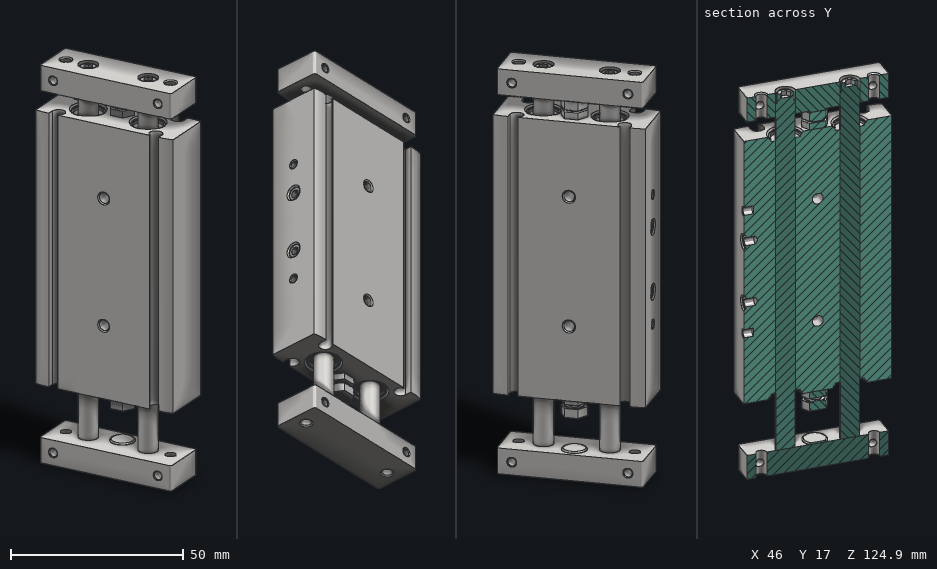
import cadquery as cq
import math


HOUSING_WIDTH = 46.0
HOUSING_DEPTH = 17.0
HOUSING_LENGTH = 86.0
LIP_FLAT_EDGE = 19.85
LIP_CROWN_DROP = 0.45
SLOT_OUTER_EDGE = 18.35
SLOT_INNER_EDGE = 15.4
SLOT_ROUND_RADIUS = 2.0
SLOT_ROUND_X = 16.25
SLOT_ROUND_Y = 6.4

ROD_DIAMETER = 6.0
ROD_X = 10.0
GLAND_DIAMETER = 10.0
GLAND_RIM_DIAMETER = 11.0
GLAND_DEPTH = 0.8
SEAL_DIAMETER = 9.0
SEAL_DEPTH = 1.6

PLATE_WIDTH = 44.0
PLATE_DEPTH = 15.0
PLATE_THICKNESS = 8.0
PLATE_CORNER_RADIUS = 0.8
UPPER_GAP = 6.0
LOWER_GAP = 16.9
PLATE_HOLE_X = 17.5
UPPER_PLATE_Z = HOUSING_LENGTH + UPPER_GAP
LOWER_PLATE_TOP = -LOWER_GAP

M3_CORE = 2.46
M3_MOUTH = 3.0
M4_CORE = 3.24
M4_MOUTH = 4.0

MOUNT_HOLE_PITCH = 40.0
MOUNT_HOLE_Z = [HOUSING_LENGTH / 2 + side * MOUNT_HOLE_PITCH / 2 for side in (-1, 1)]
SIDE_HOLE_DEPTH = 3.0

PORT_PITCH = 20.0
PORT_Z = [HOUSING_LENGTH / 2 + side * PORT_PITCH / 2 for side in (-1, 1)]
PORT_CORE = 4.13
PORT_MOUTH = 5.0
PORT_DEPTH = 0.6
PORT_DRILL = 2.46
PORT_DRILL_DEPTH = 3.0
DRILL_TIP_ANGLE = 118.0

SCREW_SEAT_DIAMETER = 6.03
SCREW_SEAT_DEPTH = 3.5
SCREW_HEAD_DIAMETER = 5.3
SCREW_HEAD_HEIGHT = 3.0
SCREW_HEAD_CHAMFER = 0.35
SCREW_SOCKET_WIDTH = 2.5
SCREW_SOCKET_DEPTH = 1.5

BOLT_Y = 2.5
BOLT_DIAMETER = 4.0
BOLT_EMBEDMENT = 8.0
HEX_WIDTH = 7.0
NUT_THICKNESS = 2.1
BOLT_HEAD_HEIGHT = 2.8
WASHER_FACE_DIAMETER = 6.0
WASHER_FACE_HEIGHT = 0.4
PAD_DIAMETER = 7.5
PAD_HEIGHT = 0.5
PAD_CHAMFER = 0.4
UPPER_BOLT_REACH = UPPER_GAP - PAD_HEIGHT
LOWER_BOLT_REACH = 6.15


def cylinder(diameter, height, x=0.0, y=0.0, z=0.0):
    """Upright cylinder standing on height z."""
    return cq.Workplane("XY", origin=(x, y, z)).circle(diameter / 2).extrude(height)


def hexagon(width, height, z, y=0.0, x=0.0):
    """Upright hexagonal prism with two corners along X; width is across flats."""
    across_corners = width / math.cos(math.pi / 6)
    return cq.Workplane("XY", origin=(x, y, z)).polygon(6, across_corners).extrude(height)


def mouth(core, outer, point, inward):
    """45 degree countersink that opens a hole from its core diameter to its mouth diameter."""
    depth = (outer - core) / 2
    return cq.Solid.makeCone(outer / 2, core / 2, depth, cq.Vector(*point), cq.Vector(*inward))


def cross_hole(core, outer, x, z, body_depth):
    """Hole through a body from front to back, countersunk at both ends."""
    hole = cq.Workplane("XZ", origin=(x, body_depth / 2, z)).circle(core / 2).extrude(body_depth)
    for side in (-1, 1):
        hole = hole.union(cq.Workplane(mouth(core, outer, (x, side * body_depth / 2, z), (0, -side, 0))))
    return hole



def crowned_block():
    """Plain housing bar whose lips fall away along a gentle arc towards the side faces."""
    half_width = HOUSING_WIDTH / 2
    half_depth = HOUSING_DEPTH / 2
    crown_width = half_width - LIP_FLAT_EDGE
    crown_radius = (crown_width**2 + LIP_CROWN_DROP**2) / (2 * LIP_CROWN_DROP)
    crown_y = half_depth - LIP_CROWN_DROP
    return (
        cq.Workplane("XY")
        .moveTo(-LIP_FLAT_EDGE, -half_depth)
        .lineTo(LIP_FLAT_EDGE, -half_depth)
        .radiusArc((half_width, -crown_y), -crown_radius)
        .lineTo(half_width, crown_y)
        .radiusArc((LIP_FLAT_EDGE, half_depth), -crown_radius)
        .lineTo(-LIP_FLAT_EDGE, half_depth)
        .radiusArc((-half_width, crown_y), -crown_radius)
        .lineTo(-half_width, -crown_y)
        .radiusArc((-LIP_FLAT_EDGE, -half_depth), -crown_radius)
        .close()
        .extrude(HOUSING_LENGTH)
    )


def sensor_slot(x_side, y_side):
    """Round-bottomed slot along the whole housing, with a mouth narrower than the round."""
    round_part = cylinder(
        2 * SLOT_ROUND_RADIUS, HOUSING_LENGTH, x_side * SLOT_ROUND_X, y_side * SLOT_ROUND_Y
    )
    mouth_width = SLOT_OUTER_EDGE - SLOT_INNER_EDGE
    mouth_depth = HOUSING_DEPTH / 2 - SLOT_ROUND_Y
    mouth_x = x_side * (SLOT_OUTER_EDGE + SLOT_INNER_EDGE) / 2
    mouth_y = y_side * (SLOT_ROUND_Y + mouth_depth / 2)
    mouth_part = (
        cq.Workplane("XY", origin=(mouth_x, mouth_y, 0))
        .rect(mouth_width, mouth_depth)
        .extrude(HOUSING_LENGTH)
    )
    return round_part.union(mouth_part)


def rod_bore(x):
    """Bore for one rod, with a bevelled, stepped gland recess at both ends of the housing."""
    bore = cylinder(ROD_DIAMETER, HOUSING_LENGTH, x)
    for end_z, inward in ((0, 1), (HOUSING_LENGTH, -1)):
        bore = bore.union(cylinder(GLAND_DIAMETER, inward * GLAND_DEPTH, x, 0, end_z))
        bore = bore.union(cylinder(SEAL_DIAMETER, inward * SEAL_DEPTH, x, 0, end_z))
        rim = mouth(GLAND_DIAMETER, GLAND_RIM_DIAMETER, (x, 0, end_z), (0, 0, inward))
        bore = bore.union(cq.Workplane(rim))
    return bore


def port(z):
    """Tapped air port in the left side with a smaller drilled hole in its floor."""
    face_x = -HOUSING_WIDTH / 2
    tip_height = PORT_DRILL / 2 / math.tan(math.radians(DRILL_TIP_ANGLE / 2))
    return (
        cq.Workplane("XZ", origin=(face_x, 0, z))
        .lineTo(0, PORT_MOUTH / 2)
        .lineTo((PORT_MOUTH - PORT_CORE) / 2, PORT_CORE / 2)
        .lineTo(PORT_DEPTH, PORT_CORE / 2)
        .lineTo(PORT_DEPTH, PORT_DRILL / 2)
        .lineTo(PORT_DEPTH + PORT_DRILL_DEPTH, PORT_DRILL / 2)
        .lineTo(PORT_DEPTH + PORT_DRILL_DEPTH + tip_height, 0)
        .close()
        .revolve(360, (0, 0, 0), (1, 0, 0))
    )


def side_hole(z):
    """Small flat-bottomed tapped hole in the left side."""
    face_x = -HOUSING_WIDTH / 2
    hole = cq.Workplane("YZ", origin=(face_x, 0, z)).circle(M3_CORE / 2).extrude(SIDE_HOLE_DEPTH)
    return hole.union(cq.Workplane(mouth(M3_CORE, M3_MOUTH, (face_x, 0, z), (1, 0, 0))))


def make_housing():
    body = crowned_block()
    for x_side in (-1, 1):
        body = body.cut(rod_bore(x_side * ROD_X))
        for y_side in (-1, 1):
            body = body.cut(sensor_slot(x_side, y_side))
    for z in MOUNT_HOLE_Z:
        body = body.cut(cross_hole(M4_CORE, M4_MOUTH, 0, z, HOUSING_DEPTH))
        body = body.cut(side_hole(z))
    for z in PORT_Z:
        body = body.cut(port(z))
    for pocket_z in (0, HOUSING_LENGTH - BOLT_EMBEDMENT):
        body = body.cut(cylinder(BOLT_DIAMETER, BOLT_EMBEDMENT, 0, BOLT_Y, pocket_z))
    return body



def drilled_plate(bottom_z, outer_z, inward):
    """End plate with its cross holes and its tapped holes, which open on the face at outer_z."""
    plate = (
        cq.Workplane("XY", origin=(0, 0, bottom_z))
        .rect(PLATE_WIDTH, PLATE_DEPTH)
        .extrude(PLATE_THICKNESS)
        .edges("|Z")
        .fillet(PLATE_CORNER_RADIUS)
    )
    for x in (-PLATE_HOLE_X, PLATE_HOLE_X):
        plate = plate.cut(cross_hole(M3_CORE, M3_MOUTH, x, bottom_z + PLATE_THICKNESS / 2, PLATE_DEPTH))
        plate = plate.cut(cylinder(M4_CORE, PLATE_THICKNESS, x, 0, bottom_z))
        plate = plate.cut(cq.Workplane(mouth(M4_CORE, M4_MOUTH, (x, 0, outer_z), (0, 0, inward))))
    return plate


def make_upper_plate():
    """Upper plate with stepped holes for the rod ends and a stop pad in one piece with it."""
    plate_top = UPPER_PLATE_Z + PLATE_THICKNESS
    plate = drilled_plate(UPPER_PLATE_Z, plate_top, -1)
    for x in (-ROD_X, ROD_X):
        plate = plate.cut(cylinder(ROD_DIAMETER, PLATE_THICKNESS - SCREW_SEAT_DEPTH, x, 0, UPPER_PLATE_Z))
        plate = plate.cut(cylinder(SCREW_SEAT_DIAMETER, -SCREW_SEAT_DEPTH, x, 0, plate_top))
    pad = cylinder(PAD_DIAMETER, -PAD_HEIGHT, 0, BOLT_Y, UPPER_PLATE_Z).faces("<Z").chamfer(PAD_CHAMFER)
    return plate.union(pad)


def make_lower_plate():
    """Lower plate; the rods stand on its inner face."""
    outer_z = LOWER_PLATE_TOP - PLATE_THICKNESS
    return drilled_plate(outer_z, outer_z, 1)


def make_lower_pad():
    """Stop pad lying on the lower plate."""
    return cylinder(PAD_DIAMETER, PAD_HEIGHT, 0, BOLT_Y, LOWER_PLATE_TOP).faces(">Z").chamfer(PAD_CHAMFER)



def make_rod(x):
    """Rod from the lower plate into the upper plate, ending in a hexagon socket screw head."""
    seat_z = UPPER_PLATE_Z + PLATE_THICKNESS - SCREW_SEAT_DEPTH
    head_top = seat_z + SCREW_HEAD_HEIGHT
    rod = cylinder(ROD_DIAMETER, seat_z - LOWER_PLATE_TOP, x, 0, LOWER_PLATE_TOP)
    head = cylinder(SCREW_HEAD_DIAMETER, SCREW_HEAD_HEIGHT, x, 0, seat_z)
    head = head.faces(">Z").chamfer(SCREW_HEAD_CHAMFER)
    socket = hexagon(SCREW_SOCKET_WIDTH, -SCREW_SOCKET_DEPTH, head_top, x=x)
    return rod.union(head).cut(socket)



def make_stop_bolt(end_z, outward, reach):
    """Hexagon bolt with its lock nut against the housing end; reach is how far the head stands out."""
    head_start = reach - BOLT_HEAD_HEIGHT
    washer_start = head_start - WASHER_FACE_HEIGHT
    shank = cylinder(
        BOLT_DIAMETER, outward * (BOLT_EMBEDMENT + reach), 0, BOLT_Y, end_z - outward * BOLT_EMBEDMENT
    )
    nut = hexagon(HEX_WIDTH, outward * NUT_THICKNESS, end_z, BOLT_Y)
    washer_face = cylinder(
        WASHER_FACE_DIAMETER, outward * WASHER_FACE_HEIGHT, 0, BOLT_Y, end_z + outward * washer_start
    )
    head = hexagon(HEX_WIDTH, outward * BOLT_HEAD_HEIGHT, end_z + outward * head_start, BOLT_Y)
    return shank.union(nut).union(washer_face).union(head)


housing = make_housing()
upper_plate = make_upper_plate()
lower_plate = make_lower_plate()
lower_pad = make_lower_pad()
rods = [make_rod(x) for x in (-ROD_X, ROD_X)]
stop_bolts = [
    make_stop_bolt(HOUSING_LENGTH, 1, UPPER_BOLT_REACH),
    make_stop_bolt(0, -1, LOWER_BOLT_REACH),
]

result = cq.Compound.makeCompound([
    housing.val(),
    upper_plate.val(),
    lower_plate.val(),
    lower_pad.val(),
    *[rod.val() for rod in rods],
    *[bolt.val() for bolt in stop_bolts],
])